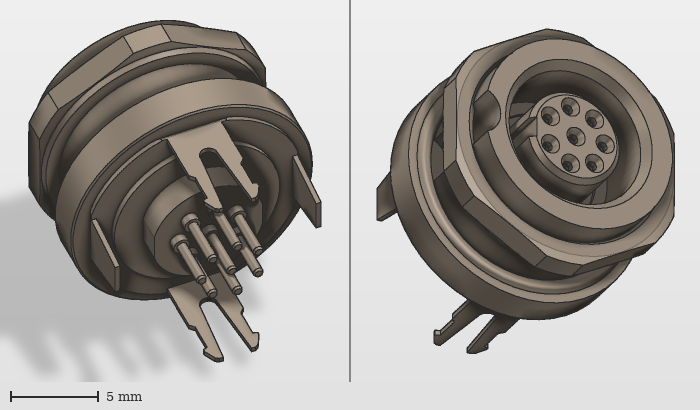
import cadquery as cq
import math


body_dia = 12.0
bore_dia = 8.46
bore_mouth_dia = 9.42
bore_mouth_depth = 0.49
bore_depth = 4.6
bore_step_dia = 7.0
bore_step_depth = 4.91
flange_dia = 15.0
flange_front = 6.57
flange_back = 8.89
flange_chamfer = 0.1

groove_radius = 1.47
groove_floor = 5.02

seal_section_radius = 0.5
seal_centre_radius = body_dia / 2 + seal_section_radius
seal_centre_x = 6.82

nut_front = 1.61
nut_back = 3.3
nut_across_flats = 14.0
nut_corner_dia = flange_dia
nut_face_dia = 13.94
nut_chamfer = 0.1
nut_bore_dia = 11.39
nut_mouth_dia = 12.4
collar_back = 3.67
collar_dia = 13.88
collar_chamfer = 0.12

plate_dia = 13.39
plate_back = 9.2
clip_across_flats = 12.77
bend_radius = 0.2
sheet = 0.3
tab_root_width = 3.28
tab_end_width = 2.03
tab_end = 12.57

total_length = 15.35
prong_half_width = 1.69
prong_waist_half_width = 1.41
waist_start = 12.28
waist_end = 14.26
waist_start_run = 0.29
waist_end_run = 0.1
barb_end = 14.52
nose_start = 15.21
nose_half_width = 1.34
tip_outer_half_width = 1.12
tip_inner_half_width = 0.87
slot_radius = 0.52
slot_centre_x = 11.25

insert_dia = 5.86
insert_face_dia = 5.25
insert_front = 0.35
insert_chamfer = 0.3
key_width = 1.23
key_floor = 2.52
back_disc_dia = 10.25
back_disc_end = 9.58
insert_back_dia = 6.9
insert_back_across_flats = 6.7
insert_back = 11.19

contacts_each_side = 3
contact_pitch_angle = 50.4
contact_ring_radius = 1.87
socket_mouth_dia = 1.17
socket_dia = 0.57
socket_mouth_depth = 0.34
socket_depth = 0.77
socket_end_dia = 0.4
socket_end_depth = 0.09
socket_tip_depth = 0.15
pin_collar_dia = 1.0
pin_collar_end = 11.71
pin_dia = 0.6
pin_end = 14.65
pin_chamfer_length = 0.15
pin_tip_dia = 0.46


def turned(profile):
    """Revolve a closed (x, radius) profile about the X axis."""
    return cq.Workplane("XY").polyline(profile).close().revolve(360, (0, 0, 0), (1, 0, 0))


def rod(start, end, diameter, y=0.0, z=0.0):
    """Cylinder parallel to X between two x positions."""
    return cq.Workplane("YZ", origin=(start, 0, 0)).center(y, z).circle(diameter / 2).extrude(end - start)


def half_turn(solid):
    """Turn a solid by 180 degrees about the connector axis."""
    return solid.rotate((0, 0, 0), (1, 0, 0), 180)


def make_shell():
    flange_radius = flange_dia / 2
    shell = turned([
        (bore_step_depth, 0),
        (bore_step_depth, bore_step_dia / 2),
        (bore_depth, bore_step_dia / 2),
        (bore_depth, bore_dia / 2),
        (bore_mouth_depth, bore_dia / 2),
        (0, bore_mouth_dia / 2),
        (0, body_dia / 2),
        (flange_front, body_dia / 2),
        (flange_front, flange_radius),
        (flange_back - flange_chamfer, flange_radius),
        (flange_back, flange_radius - flange_chamfer),
        (flange_back, 0),
    ])
    groove = rod(0, flange_front, 2 * groove_radius, y=groove_floor + groove_radius)
    return shell.cut(groove)


def make_seal():
    return (
        cq.Workplane("XY")
        .center(seal_centre_x, seal_centre_radius)
        .circle(seal_section_radius)
        .revolve(360, (0, -seal_centre_radius, 0), (1, -seal_centre_radius, 0))
    )


def make_nut():
    bore_radius = nut_bore_dia / 2
    mouth_radius = nut_mouth_dia / 2
    envelope = turned([
        (nut_front + mouth_radius - bore_radius, bore_radius),
        (nut_front, mouth_radius),
        (nut_front, nut_face_dia / 2),
        (nut_front + nut_chamfer, nut_corner_dia / 2),
        (nut_back - nut_chamfer, nut_corner_dia / 2),
        (nut_back, nut_face_dia / 2),
        (nut_back, bore_radius),
    ])
    hexagon = (
        cq.Workplane("YZ", origin=(nut_front, 0, 0))
        .polygon(6, nut_across_flats, circumscribed=True)
        .extrude(nut_back - nut_front)
    )
    collar = turned([
        (nut_back, bore_radius),
        (nut_back, collar_dia / 2),
        (collar_back, collar_dia / 2 - collar_chamfer),
        (collar_back, bore_radius),
    ])
    return envelope.intersect(hexagon).union(collar)


def make_clip_plate():
    thickness = plate_back - flange_back
    square = (
        cq.Workplane("YZ", origin=(flange_back, 0, 0))
        .rect(clip_across_flats, clip_across_flats)
        .extrude(thickness)
        .faces("<X").edges()
        .fillet(bend_radius)
    )
    return rod(flange_back, plate_back, plate_dia).intersect(square)


def make_side_tab():
    """Tapered tab on the -Y side."""
    root = flange_back + bend_radius
    return (
        cq.Workplane("XZ", origin=(0, -clip_across_flats / 2, 0))
        .polyline([
            (root, -tab_root_width / 2),
            (plate_back, -tab_root_width / 2),
            (tab_end, -tab_end_width / 2),
            (tab_end, tab_end_width / 2),
            (plate_back, tab_root_width / 2),
            (root, tab_root_width / 2),
        ])
        .close()
        .extrude(-sheet)
    )


def make_prong():
    """Forked snap prong on the +Z side."""
    upper_edge = [
        (flange_back + bend_radius, prong_half_width),
        (waist_start, prong_half_width),
        (waist_start + waist_start_run, prong_waist_half_width),
        (waist_end, prong_waist_half_width),
        (waist_end + waist_end_run, prong_half_width),
        (barb_end, prong_half_width),
        (nose_start, nose_half_width),
        (total_length, tip_outer_half_width),
        (total_length, tip_inner_half_width),
        (slot_centre_x, slot_radius),
    ]
    lower_edge = [(x, -y) for x, y in reversed(upper_edge)]
    return (
        cq.Workplane("XY", origin=(0, 0, clip_across_flats / 2))
        .polyline(upper_edge)
        .threePointArc((slot_centre_x - slot_radius, 0), lower_edge[0])
        .polyline(lower_edge[1:], includeCurrent=True)
        .close()
        .extrude(-sheet)
    )


def make_insert():
    insert = turned([
        (insert_front, 0),
        (insert_front, insert_face_dia / 2),
        (insert_front + insert_chamfer, insert_dia / 2),
        (bore_step_depth, insert_dia / 2),
        (bore_step_depth, 0),
    ])
    key_depth = insert_dia / 2 - key_floor
    keyway = cq.Workplane("XY").box(
        bore_step_depth - insert_front, key_depth, key_width, centered=(False, False, True)
    )
    return insert.cut(keyway.translate((insert_front, key_floor, 0)))


def make_insert_back():
    disc = rod(flange_back, back_disc_end, back_disc_dia)
    flatted = (
        rod(back_disc_end, insert_back, insert_back_dia)
        .intersect(
            cq.Workplane("YZ", origin=(back_disc_end, 0, 0))
            .rect(insert_back_across_flats, insert_back_dia)
            .extrude(insert_back - back_disc_end)
        )
    )
    return disc.union(flatted)


def contact_positions():
    positions = [(0.0, 0.0)]
    for index in range(-contacts_each_side, contacts_each_side + 1):
        angle = math.radians(index * contact_pitch_angle)
        positions.append((-contact_ring_radius * math.cos(angle), contact_ring_radius * math.sin(angle)))
    return positions


def make_socket():
    """Tool for one contact hole: a funnel mouth, then a round hole with a blunt conical end."""
    mouth_end = insert_front + socket_mouth_depth
    hole_end = insert_front + socket_depth
    return turned([
        (insert_front, 0),
        (insert_front, socket_mouth_dia / 2),
        (mouth_end, socket_dia / 2),
        (hole_end, socket_dia / 2),
        (hole_end + socket_end_depth, socket_end_dia / 2),
        (hole_end + socket_tip_depth, 0),
    ])


def make_pin():
    """Solder pin with a round collar at its root."""
    return turned([
        (insert_back, 0),
        (insert_back, pin_collar_dia / 2),
        (pin_collar_end, pin_collar_dia / 2),
        (pin_collar_end, pin_dia / 2),
        (pin_end - pin_chamfer_length, pin_dia / 2),
        (pin_end, pin_tip_dia / 2),
        (pin_end, 0),
    ])


side_tab = make_side_tab()
prong = make_prong()

result = make_shell().union(make_seal()).union(make_nut())
result = result.union(make_insert()).union(make_clip_plate()).union(make_insert_back())
for tab in (side_tab, prong):
    result = result.union(tab).union(half_turn(tab))

socket = make_socket()
pin = make_pin()
for y, z in contact_positions():
    result = result.cut(socket.translate((0, y, z)))
    result = result.union(pin.translate((0, y, z)))